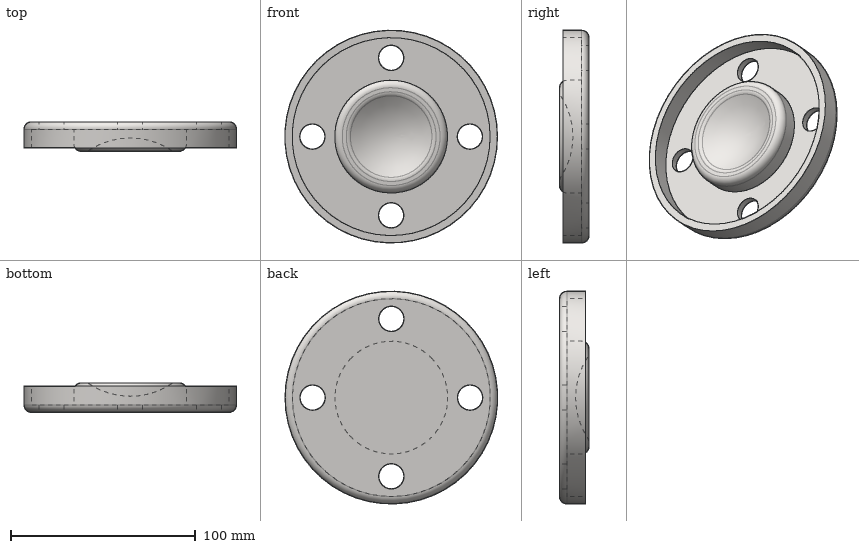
import cadquery as cq
import math

flange_radius = 57.5
total_depth = 16.0
rim_depth = 14.1
rim_wall = 4.0
web_thickness = 4.0
back_fillet = 4.0

boss_radius = 30.5
boss_fillet = 4.0
lip_outer_radius = 24.3
lip_fillet = 4.0
sphere_radius = 40.0

hole_diameter = 13.5
hole_circle_radius = 42.5
hole_count = 4

rim_face = -rim_depth
boss_face = -total_depth


def revolve_about_y(profile):
    return profile.close().revolve(360, (0, 0, 0), (0, 1, 0))


def make_flange():
    cup = (
        cq.Workplane("XY")
        .lineTo(flange_radius - back_fillet, 0)
        .radiusArc((flange_radius, -back_fillet), back_fillet)
        .lineTo(flange_radius, rim_face)
        .lineTo(flange_radius - rim_wall, rim_face)
        .lineTo(flange_radius - rim_wall, -web_thickness)
        .lineTo(0, -web_thickness)
    )
    return revolve_about_y(cup)


def make_boss():
    boss = (
        cq.Workplane("XY")
        .lineTo(boss_radius, 0)
        .lineTo(boss_radius, boss_face + boss_fillet)
        .radiusArc((boss_radius - boss_fillet, boss_face), boss_fillet)
        .lineTo(0, boss_face)
    )
    return revolve_about_y(boss)


def make_dish():
    center_distance = sphere_radius + lip_fillet
    slope = math.asin(lip_outer_radius / center_distance)
    edge_radius = sphere_radius * math.sin(slope)
    edge_y = boss_face + lip_fillet * (1 - math.cos(slope))
    bowl_bottom = edge_y + sphere_radius * (1 - math.cos(slope))
    dish = (
        cq.Workplane("XY")
        .moveTo(0, boss_face)
        .lineTo(lip_outer_radius, boss_face)
        .radiusArc((edge_radius, edge_y), lip_fillet)
        .radiusArc((0, bowl_bottom), -sphere_radius)
    )
    return revolve_about_y(dish)


def make_bolt_holes():
    return (
        cq.Workplane("XZ")
        .polarArray(hole_circle_radius, 0, 360, hole_count)
        .circle(hole_diameter / 2)
        .extrude(total_depth)
    )


result = make_flange().union(make_boss()).cut(make_dish()).cut(make_bolt_holes())